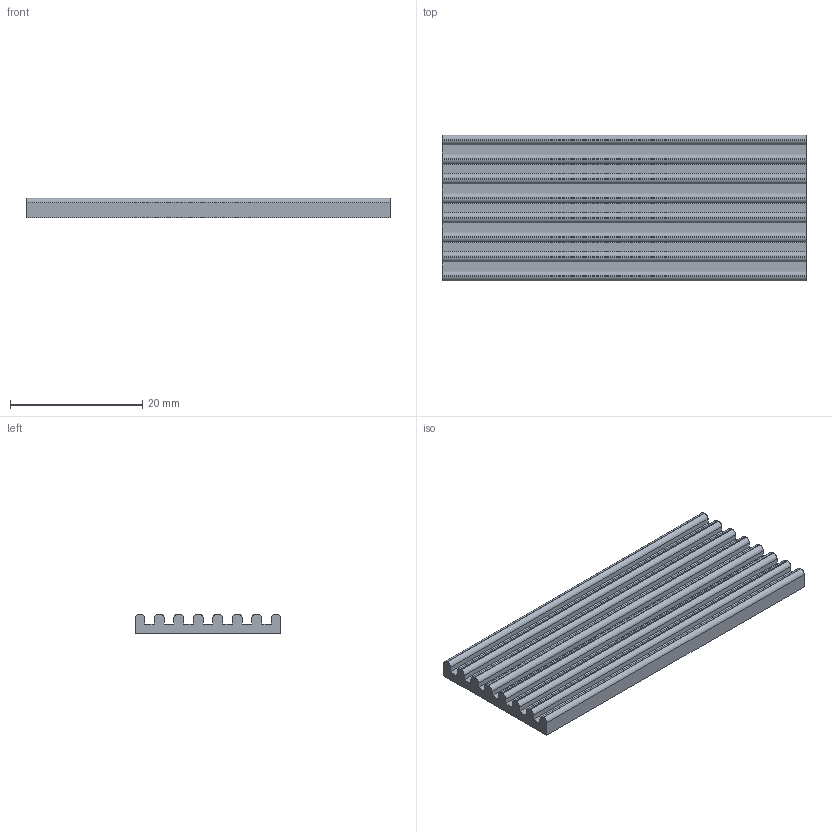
import cadquery as cq

length = 55.0
width = 22.0
height = 3.0

groove_count = 7
groove_width = 1.4
groove_depth = 1.5
groove_pitch = 2.95

crest_fillet = 0.7


def make_block():
    """Plain block with the outer size of the part."""
    return cq.Workplane("XY").box(length, width, height, centered=(True, True, False))


def cut_grooves(body):
    """Cut the evenly spaced full-length grooves into the top face."""
    groove_centres = [(0, (index - (groove_count - 1) / 2) * groove_pitch) for index in range(groove_count)]
    return (
        body.faces(">Z")
        .workplane(origin=(0, 0, height))
        .pushPoints(groove_centres)
        .rect(length, groove_width)
        .cutBlind(-groove_depth)
    )


def round_crests(body):
    """Round both long top edges of every rib."""
    return body.faces(">Z").edges("|X").fillet(crest_fillet)


result = round_crests(cut_grooves(make_block()))